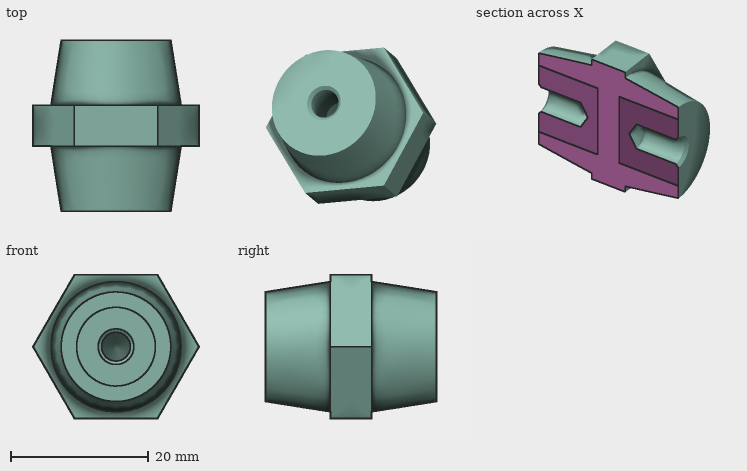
import cadquery as cq
import math


LENGTH = 25.0
HEX_ACROSS_FLATS = 21.0
HEX_WIDTH = 6.0
CONE_BASE_DIAMETER = 19.0
CONE_END_DIAMETER = 16.0

INSERT_DIAMETER = 11.5
INSERT_LENGTH = 10.5

HOLE_DIAMETER = 4.2
HOLE_MOUTH_DIAMETER = 5.2
HOLE_DEPTH = 7.5
MOUTH_CHAMFER_ANGLE = 45.0
DRILL_TIP_ANGLE = 118.0

HALF_LENGTH = LENGTH / 2
ENDS = (-1, 1)


def revolve_about_y(profile):
    """Turn a closed list of (radius, y) points about the Y axis."""
    return cq.Workplane("XY").polyline(profile).close().revolve(360, (0, 0), (0, 1))


def make_hex_collar():
    """Hexagonal prism across the middle, corners on X and flats facing Z."""
    across_corners = HEX_ACROSS_FLATS / math.cos(math.radians(30))
    return cq.Workplane("XZ").polygon(6, across_corners).extrude(HEX_WIDTH / 2, both=True)


def make_tapered_end(end):
    """Cone frustum from one collar face out to that end of the housing."""
    base_y = end * HEX_WIDTH / 2
    end_y = end * HALF_LENGTH
    return revolve_about_y([
        (0, base_y),
        (CONE_BASE_DIAMETER / 2, base_y),
        (CONE_END_DIAMETER / 2, end_y),
        (0, end_y),
    ])


def make_insert_pocket(end):
    """Cylindrical space that one insert fills."""
    inner_y = end * (HALF_LENGTH - INSERT_LENGTH)
    end_y = end * HALF_LENGTH
    radius = INSERT_DIAMETER / 2
    return revolve_about_y([(0, inner_y), (radius, inner_y), (radius, end_y), (0, end_y)])


def make_hole(end):
    """Blind drilled hole with a chamfered mouth and a conical bottom."""
    hole_radius = HOLE_DIAMETER / 2
    mouth_radius = HOLE_MOUTH_DIAMETER / 2
    chamfer_depth = (mouth_radius - hole_radius) / math.tan(math.radians(MOUTH_CHAMFER_ANGLE))
    tip_depth = hole_radius / math.tan(math.radians(DRILL_TIP_ANGLE / 2))
    end_y = end * HALF_LENGTH
    return revolve_about_y([
        (0, end_y),
        (mouth_radius, end_y),
        (hole_radius, end_y - end * chamfer_depth),
        (hole_radius, end_y - end * HOLE_DEPTH),
        (0, end_y - end * (HOLE_DEPTH + tip_depth)),
    ])


def make_housing():
    """Hex collar with a tapered end on both sides, each pocketed for an insert."""
    housing = make_hex_collar()
    for end in ENDS:
        housing = housing.union(make_tapered_end(end))
    for end in ENDS:
        housing = housing.cut(make_insert_pocket(end))
    return housing


def make_insert(end):
    """Round insert filling one pocket, with a blind hole open to the end face."""
    return make_insert_pocket(end).cut(make_hole(end))


housing = make_housing()
inserts = [make_insert(end) for end in ENDS]

result = cq.Compound.makeCompound([
    housing.solids().val(),
    *[insert.solids().val() for insert in inserts],
])